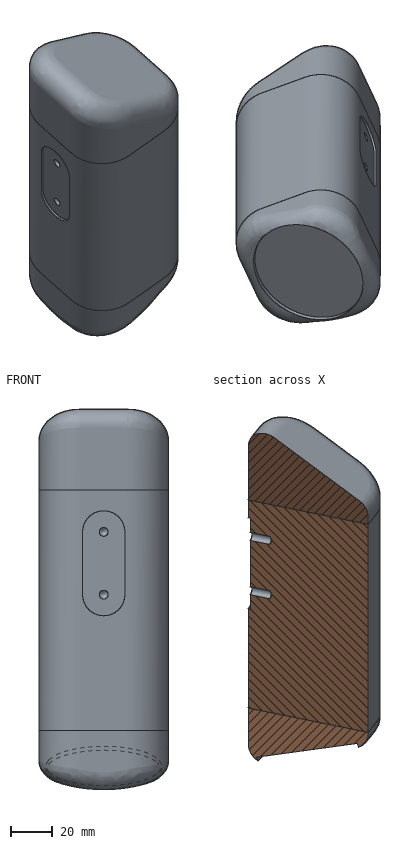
import cadquery as cq
import math

width = 62.0
height = 181.7
corner_radius = 19.8

lower_joint = 28.3
upper_joint = 143.1

top_slope = 30.0
bottom_slope = 20.0
edge_radius = 8.9

bottom_recess_diameter = 55.0
bottom_recess_depth = 2.0

recess_width = 20.2
recess_length = 50.1
recess_depth = 1.0
recess_center = 108.0
hole_spacing = 30.0
hole_diameter = 4.2
hole_depth = 10.0
drill_point_angle = 118.0

front = -width / 2
back = width / 2


def rounded_column(bottom, top):
    """Square column with rounded vertical corners between two heights."""
    return (
        cq.Workplane("XY", origin=(0, 0, bottom))
        .rect(width, width)
        .extrude(top - bottom)
        .edges("|Z")
        .fillet(corner_radius)
    )


def slope_rise(slope):
    """Height gained by a sloping end over the full width of the column."""
    return width * math.tan(math.radians(slope))


def slanted_column(level, front_end, back_end):
    """Column from a level face to a face that slopes from the front to the back."""
    low = min(level, front_end, back_end)
    high = max(level, front_end, back_end)
    side_outline = [(front, level), (front, front_end), (back, back_end), (back, level)]
    side_profile = (
        cq.Workplane("YZ", origin=(-width / 2, 0, 0))
        .polyline(side_outline)
        .close()
        .extrude(width)
    )
    return rounded_column(low, high).intersect(side_profile)


def make_top_cap():
    tilt = math.radians(top_slope)
    sharp_corner = height - edge_radius + edge_radius * (1 + math.sin(tilt)) / math.cos(tilt)
    cap = slanted_column(upper_joint, sharp_corner, sharp_corner - slope_rise(top_slope))
    return cap.faces(">Z").edges().fillet(edge_radius)


def make_bottom_cap():
    tilt = math.radians(bottom_slope)
    slope_center = bottom_recess_diameter / 2 * math.sin(tilt)
    half_rise = slope_rise(bottom_slope) / 2
    cap = slanted_column(lower_joint, slope_center - half_rise, slope_center + half_rise)
    sloping_face = cq.Plane(
        origin=(0, 0, slope_center),
        xDir=(1, 0, 0),
        normal=(0, math.sin(tilt), -math.cos(tilt)),
    )
    recess = cq.Workplane(sloping_face).circle(bottom_recess_diameter / 2).extrude(-bottom_recess_depth)
    cap = cap.cut(recess)
    outer_edges = cap.faces("<Z").val().outerWire().Edges()
    return cap.newObject(outer_edges).fillet(edge_radius)


def drilled_hole(z):
    """Blind hole with a conical drill point, bored along +Y from the recess floor."""
    radius = hole_diameter / 2
    floor = front + recess_depth
    point = radius / math.tan(math.radians(drill_point_angle / 2))
    return (
        cq.Workplane("XY", origin=(0, 0, z))
        .moveTo(0, floor)
        .lineTo(radius, floor)
        .lineTo(radius, floor + hole_depth)
        .lineTo(0, floor + hole_depth + point)
        .close()
        .revolve(360, (0, 0), (0, 1))
    )


def make_housing():
    body = rounded_column(lower_joint, upper_joint)
    recess = (
        cq.Workplane("XZ", origin=(0, front, recess_center))
        .slot2D(recess_length, recess_width, 90)
        .extrude(-recess_depth)
    )
    body = body.cut(recess)
    for side in (-1, 1):
        body = body.cut(drilled_hole(recess_center + side * hole_spacing / 2))
    return body


bottom_cap = make_bottom_cap()
housing = make_housing()
top_cap = make_top_cap()

result = cq.Compound.makeCompound([bottom_cap.val(), housing.val(), top_cap.val()])